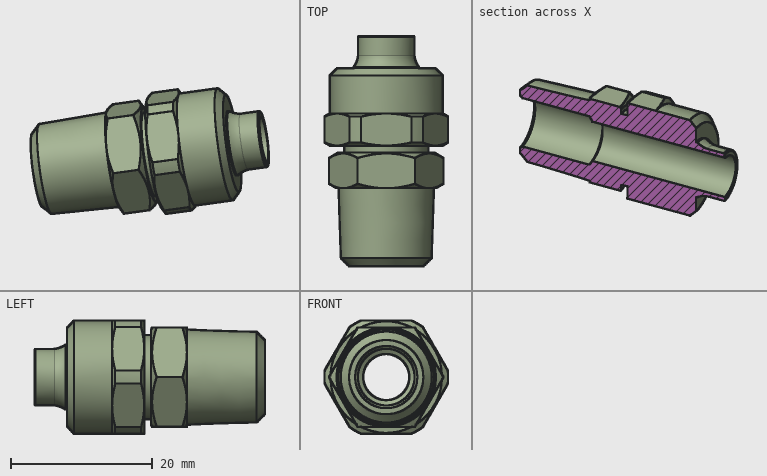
import cadquery as cq
import math

length = 32.5
thread_chamfer_end = 1.17
hex_start = 11.02
hex_end = 16.1
nut_start = 16.95
nut_hex_end = 21.55
nut_chamfer_start = 26.95
nut_end = 27.95
flare_start = 28.1
flare_end = 29.7
flare_bow = 0.3

thread_end_diameter = 10.45
thread_small_diameter = 12.85
thread_large_diameter = 13.5
neck_diameter = 11.93
hex_width = 14.0
nut_width = 16.0
nut_corner_diameter = 17.5
nut_end_diameter = 13.85
flare_diameter = 9.2
tube_diameter = 8.0
tube_edge_chamfer = 0.15

bore_diameter = 6.47
socket_diameter = 8.0
mouth_diameter = 8.78
mouth_angle = 45.0
mouth_depth = (mouth_diameter - socket_diameter) / 2 * math.tan(math.radians(mouth_angle))
socket_depth = hex_start
socket_cone_angle = 30.0
socket_cone_length = (socket_diameter - bore_diameter) / 2 * math.tan(math.radians(socket_cone_angle))

corner_angle = 30.0
nut_front_face_diameter = 15.73
nut_rear_face_diameter = nut_width
hex_front_face_diameter = 14.0
hex_rear_face_diameter = 13.4


def revolve_about_y(outline):
    return outline.close().revolve(360, (0, 0, 0), (0, 1, 0))


def trimmed_hexagon(width, start, end, front_diameter, rear_diameter, limit_diameter):
    """Hexagon with corners on X, trimmed by a cylinder with a cone at each end."""
    corner_diameter = width / math.cos(math.radians(30))
    prism = (
        cq.Workplane("XZ", origin=(0, start, 0))
        .polygon(6, corner_diameter)
        .extrude(start - end)
    )
    slope = math.tan(math.radians(corner_angle))
    front_rise = (limit_diameter - front_diameter) / 2 * slope
    rear_rise = (limit_diameter - rear_diameter) / 2 * slope
    envelope = revolve_about_y(
        cq.Workplane("XY")
        .moveTo(0, start)
        .lineTo(front_diameter / 2, start)
        .lineTo(limit_diameter / 2, start + front_rise)
        .lineTo(limit_diameter / 2, end - rear_rise)
        .lineTo(rear_diameter / 2, end)
        .lineTo(0, end)
    )
    return prism.intersect(envelope)


def turned_body():
    """Tapered thread blank, neck, nut sleeve, flare and tube end."""
    flare_middle = (
        tube_diameter / 2 + (flare_diameter - tube_diameter) / 2 * flare_bow,
        (flare_start + flare_end) / 2,
    )
    return revolve_about_y(
        cq.Workplane("XY")
        .moveTo(0, 0)
        .lineTo(thread_end_diameter / 2, 0)
        .lineTo(thread_small_diameter / 2, thread_chamfer_end)
        .lineTo(thread_large_diameter / 2, hex_start)
        .lineTo(neck_diameter / 2, hex_start)
        .lineTo(neck_diameter / 2, nut_hex_end)
        .lineTo(nut_width / 2, nut_hex_end)
        .lineTo(nut_width / 2, nut_chamfer_start)
        .lineTo(nut_end_diameter / 2, nut_end)
        .lineTo(flare_diameter / 2, nut_end)
        .lineTo(flare_diameter / 2, flare_start)
        .threePointArc(flare_middle, (tube_diameter / 2, flare_end))
        .lineTo(tube_diameter / 2, length - tube_edge_chamfer)
        .lineTo(tube_diameter / 2 - tube_edge_chamfer, length)
        .lineTo(0, length)
    )


def bore():
    """Chamfered socket that narrows through a cone to the through bore."""
    return revolve_about_y(
        cq.Workplane("XY")
        .moveTo(0, 0)
        .lineTo(mouth_diameter / 2, 0)
        .lineTo(socket_diameter / 2, mouth_depth)
        .lineTo(socket_diameter / 2, socket_depth)
        .lineTo(bore_diameter / 2, socket_depth + socket_cone_length)
        .lineTo(bore_diameter / 2, length)
        .lineTo(0, length)
    )


body_hexagon = trimmed_hexagon(
    hex_width, hex_start, hex_end,
    hex_front_face_diameter, hex_rear_face_diameter,
    hex_width / math.cos(math.radians(30)),
)
nut_hexagon = trimmed_hexagon(
    nut_width, nut_start, nut_hex_end,
    nut_front_face_diameter, nut_rear_face_diameter,
    nut_corner_diameter,
)
result = turned_body().union(body_hexagon).union(nut_hexagon).cut(bore())